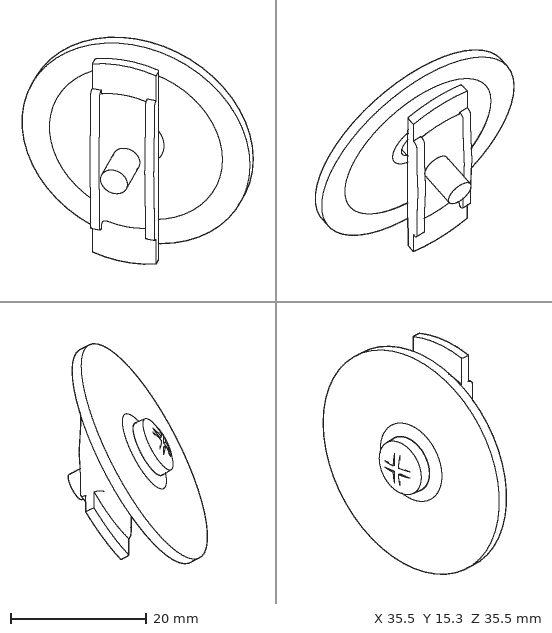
import cadquery as cq
import math


disc_radius = 17.755
sheet_thickness = 1.6
edge_radius = 1.55
disc_land_radius = 13.47
disc_land_y = -0.53
dish_mouth_radius = 7.97
dish_bevel_radius = 7.44
dish_bevel_y = -0.41
dish_floor_radius = 4.14
dish_top_y = 2.3
dish_floor_y = dish_top_y - sheet_thickness
cone_base_radius = 6.2
cone_top_radius = 4.3
clearance_hole_radius = 2.5

shank_radius = 2.1
shank_end_y = -10.38
head_base_radius = 4.37
head_edge_radius = 4.24
head_edge_y = 3.97
head_top_y = 4.98
slot_width = 1.07
slot_floor_y = 4.62

bar_half_width = 4.97
bar_plate_back_y = -4.11
bar_front_y = -5.55
hump_radius = 13.6
hump_top_y = -3.07
pocket_radius = 12.08
pocket_mouth_round = 0.8
pocket_half_width = 3.57
pocket_corner_radius = 0.75
pocket_floor_y = hump_top_y - (bar_plate_back_y - bar_front_y)
tab_half_length = 12.57
tab_end_radius = 0.77
tab_edge_y = -6.4
tab_peak_y = -6.7
tab_slope_half_length = 7.55


def cylinder(radius, start_y, end_y):
    """Solid cylinder on the Y axis between two Y positions."""
    return cq.Workplane("XZ", origin=(0, start_y, 0)).circle(radius).extrude(start_y - end_y)


def turned(profile):
    """Solid of revolution about Y from a closed (radius, Y) profile."""
    return profile.close().revolve(360, (0, 0, 0), (0, 1, 0))


def raised_land(outer_radius, base_y, face_y):
    """Round land rising from base_y to a flat face, its edge rolled over tangent to the face."""
    height = abs(face_y - base_y)
    outward = math.copysign(1, face_y - base_y)
    roll_angle = math.acos((edge_radius - height) / edge_radius)
    flat_radius = outer_radius - edge_radius * math.sin(roll_angle)
    mid_radius = flat_radius + edge_radius * math.sin(roll_angle / 2)
    mid_y = face_y - outward * edge_radius * (1 - math.cos(roll_angle / 2))
    return turned(
        cq.Workplane("XY")
        .moveTo(0, base_y)
        .lineTo(outer_radius, base_y)
        .threePointArc((mid_radius, mid_y), (flat_radius, face_y))
        .lineTo(0, face_y)
    )


def make_disc():
    """Flat disc with a raised front land and a dished centre that carries the screw head."""
    plate = cylinder(disc_radius, 0, sheet_thickness)
    land = raised_land(disc_land_radius, 0, disc_land_y)
    cone = turned(
        cq.Workplane("XY")
        .moveTo(0, sheet_thickness)
        .lineTo(cone_base_radius, sheet_thickness)
        .lineTo(cone_top_radius, dish_top_y)
        .lineTo(0, dish_top_y)
    )
    dish = turned(
        cq.Workplane("XY")
        .moveTo(0, disc_land_y)
        .lineTo(dish_mouth_radius, disc_land_y)
        .lineTo(dish_bevel_radius, dish_bevel_y)
        .lineTo(dish_floor_radius, dish_floor_y)
        .lineTo(0, dish_floor_y)
    )
    hole = cylinder(clearance_hole_radius, disc_land_y, dish_top_y)
    return plate.union(land).union(cone).cut(dish).cut(hole)


def make_screw():
    """Domed screw with a shallow cross slot, seated on the dish."""
    cap_height = head_top_y - head_edge_y
    dome_radius = (head_edge_radius**2 + cap_height**2) / (2 * cap_height)
    mid_radius = head_edge_radius / 2
    mid_y = head_top_y - dome_radius + math.sqrt(dome_radius**2 - mid_radius**2)
    screw = turned(
        cq.Workplane("XY")
        .moveTo(0, shank_end_y)
        .lineTo(shank_radius, shank_end_y)
        .lineTo(shank_radius, dish_top_y)
        .lineTo(head_base_radius, dish_top_y)
        .lineTo(head_edge_radius, head_edge_y)
        .threePointArc((mid_radius, mid_y), (0, head_top_y))
    )
    slot_length = 2 * head_base_radius
    slot_plane = cq.Workplane("XZ", origin=(0, slot_floor_y, 0))
    for length_x, length_z in ((slot_length, slot_width), (slot_width, slot_length)):
        screw = screw.cut(slot_plane.rect(length_x, length_z).extrude(-cap_height))
    return screw


def bar_blank():
    """Plate with a raised hump, long back edges rounded and ends cut to the disc radius."""
    plate = cylinder(disc_radius, bar_front_y, bar_plate_back_y)
    hump = raised_land(hump_radius, bar_plate_back_y, hump_top_y)
    envelope = (
        cq.Workplane("XY")
        .center(0, (bar_front_y + hump_top_y) / 2)
        .rect(2 * bar_half_width, hump_top_y - bar_front_y)
        .extrude(disc_radius, both=True)
        .edges("|Z and >Y")
        .fillet(edge_radius)
    )
    return plate.union(hump).intersect(envelope)


def bar_pocket():
    """Hollow in the front of the bar: sides rounded into the floor, arc ends rounded over at the mouth."""
    sides = (
        cq.Workplane("XY")
        .center(0, (bar_front_y + pocket_floor_y) / 2)
        .rect(2 * pocket_half_width, pocket_floor_y - bar_front_y)
        .extrude(disc_radius, both=True)
        .edges("|Z and >Y")
        .fillet(pocket_corner_radius)
    )
    ends = turned(
        cq.Workplane("XY")
        .moveTo(0, pocket_floor_y)
        .lineTo(pocket_radius, pocket_floor_y)
        .lineTo(pocket_radius, bar_front_y + pocket_mouth_round)
        .radiusArc((pocket_radius + pocket_mouth_round, bar_front_y), -pocket_mouth_round)
        .lineTo(0, bar_front_y)
    )
    return ends.intersect(sides)


def bar_tab(side):
    """Upright rail along one long edge, peaked at mid-length and rounded at both ends."""
    start_x = pocket_half_width if side > 0 else -bar_half_width
    return (
        cq.Workplane("YZ", origin=(start_x, 0, 0))
        .moveTo(bar_front_y, -tab_half_length)
        .lineTo(tab_edge_y + tab_end_radius, -tab_half_length)
        .tangentArcPoint((-tab_end_radius, tab_end_radius))
        .lineTo(tab_edge_y, -tab_slope_half_length)
        .lineTo(tab_peak_y, 0)
        .lineTo(tab_edge_y, tab_slope_half_length)
        .lineTo(tab_edge_y, tab_half_length - tab_end_radius)
        .tangentArcPoint((tab_end_radius, tab_end_radius))
        .lineTo(bar_front_y, tab_half_length)
        .close()
        .extrude(bar_half_width - pocket_half_width)
    )


def make_clamp_bar():
    """Channel-shaped bar with two rails, bored for the screw shank."""
    bar = bar_blank().cut(bar_pocket())
    for side in (-1, 1):
        bar = bar.union(bar_tab(side))
    return bar.cut(cylinder(shank_radius, bar_front_y, hump_top_y))


disc = make_disc()
screw = make_screw()
clamp_bar = make_clamp_bar()

result = cq.Compound.makeCompound([disc.val(), screw.val(), clamp_bar.val()])